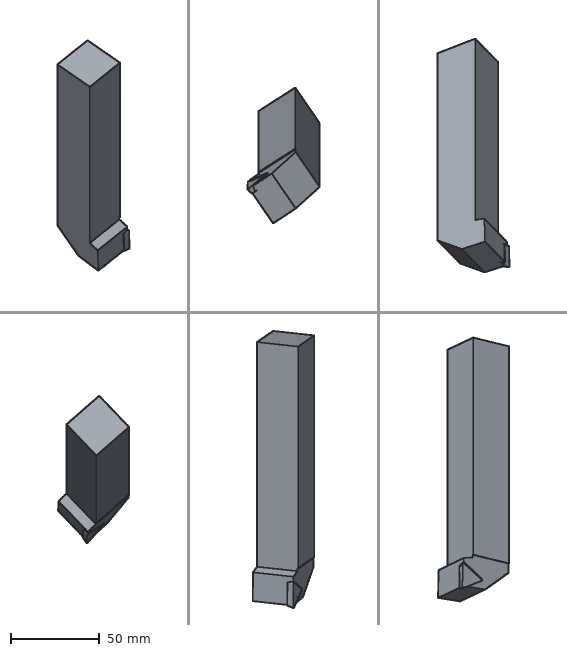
import cadquery as cq
import math

total_length = 151.4
shank_size = 25.0
total_width = 32.4

heel_height = 15.7
heel_corner_x = 16.2
heel_corner_z = 2.4
toe_x = 31.5
toe_z = 1.4
shoulder_x = 31.0
shoulder_z = 18.2
neck_z = 19.8

step_height = 21.3
step_depth = 0.5

inscribed_radius = 4.77
nose_radius = 0.8
insert_thickness = 4.0
relief_angle = 7.0
lead_angle = 1.0


def make_insert():
    corner_distance = 2 * (inscribed_radius - nose_radius)
    tip_angle = math.radians(lead_angle - 60)
    center_x = total_width - nose_radius - corner_distance * math.cos(tip_angle)
    center_z = nose_radius - corner_distance * math.sin(tip_angle)

    def triangle(radius, y):
        points = []
        for corner in range(3):
            angle = tip_angle + corner * math.radians(120)
            x = center_x + 2 * radius * math.cos(angle)
            z = center_z + 2 * radius * math.sin(angle)
            points.append(cq.Vector(x, y, z))
        return cq.Wire.makePolygon(points, close=True)

    relief = insert_thickness * math.tan(math.radians(relief_angle))
    cutting_face = triangle(inscribed_radius, shank_size)
    seat_face = triangle(inscribed_radius - relief, shank_size - insert_thickness)
    body = cq.Workplane(obj=cq.Solid.makeLoft([seat_face, cutting_face], True))
    return body.edges("not #Y").fillet(nose_radius)


def make_holder(insert):
    outline = [
        (0, total_length),
        (0, heel_height),
        (heel_corner_x, heel_corner_z),
        (toe_x, toe_z),
        (shoulder_x, shoulder_z),
        (shank_size, neck_z),
        (shank_size, total_length),
    ]
    blank = cq.Workplane("XZ").polyline(outline).close().extrude(-shank_size)
    head_step = cq.Workplane("XY").box(total_width, step_depth, step_height, centered=False)
    head_step = head_step.translate((0, shank_size - step_depth, 0))
    return blank.cut(head_step).cut(insert)


insert = make_insert()
holder = make_holder(insert)

result = cq.Compound.makeCompound([holder.val(), insert.val()])